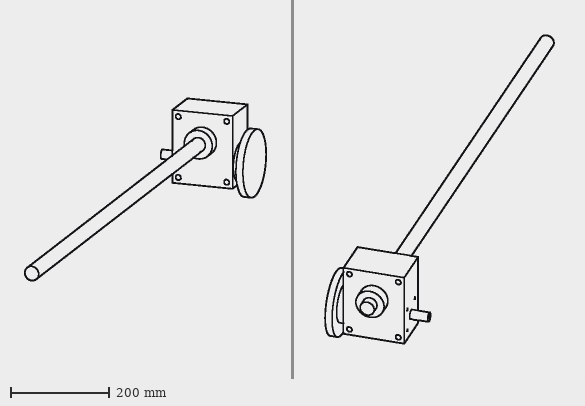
import cadquery as cq


HOUSING_WIDTH = 130.0
HOUSING_DEPTH = 90.0
HOUSING_HEIGHT = 154.0
HOUSING_TOP = 60.0
HOUSING_CENTER_Z = HOUSING_TOP - HOUSING_HEIGHT / 2

HUB_DIAMETER = 60.0
HUB_SPAN = 140.0

MOUNT_HOLE_DIAMETER = 11.0
MOUNT_HOLE_INSET = 13.0

SCREW_DIAMETER = 30.0
SCREW_LENGTH = 1160
SCREW_PROJECTION = 19.0
SCREW_BACK_END = HUB_SPAN / 2 + SCREW_PROJECTION

SHAFT_DIAMETER = 20.0
SHAFT_PROJECTION = 38.0

FLANGE_DIAMETER = 140.0
FLANGE_THICKNESS = 15.0
FLANGE_NECK_DIAMETER = 81.0
FLANGE_NECK_LENGTH = 16.0
FLANGE_DROP = 180.0
SHAFT_AXIS_Z = HOUSING_TOP - FLANGE_DROP + FLANGE_DIAMETER / 2

TAPPED_HOLE_DIAMETER = 4.9
TAPPED_HOLE_DEPTH = 12.0
TAPPED_HOLE_SPACING = 49.0


def cylinder_along_x(diameter, start_x, length, y=0, z=SHAFT_AXIS_Z):
    """Cylinder that starts at start_x and runs toward +X."""
    return cq.Workplane("YZ", origin=(start_x, y, z)).circle(diameter / 2).extrude(length)


def cylinder_along_y(diameter, start_y, length, x=0, z=0):
    """Cylinder that starts at start_y and runs toward +Y."""
    return cq.Workplane("XZ", origin=(x, start_y, z)).circle(diameter / 2).extrude(-length)


def make_screw():
    return cylinder_along_y(SCREW_DIAMETER, SCREW_BACK_END - SCREW_LENGTH, SCREW_LENGTH)


def make_input_shaft():
    """Shaft through the full housing width, with a centre hole in its free end."""
    free_end = -HOUSING_WIDTH / 2 - SHAFT_PROJECTION
    shaft = cylinder_along_x(SHAFT_DIAMETER, free_end, SHAFT_PROJECTION + HOUSING_WIDTH)
    return shaft.cut(cylinder_along_x(TAPPED_HOLE_DIAMETER, free_end, TAPPED_HOLE_DEPTH))


def make_motor_flange():
    neck = cylinder_along_x(FLANGE_NECK_DIAMETER, HOUSING_WIDTH / 2, FLANGE_NECK_LENGTH)
    disc_start = HOUSING_WIDTH / 2 + FLANGE_NECK_LENGTH
    return neck.union(cylinder_along_x(FLANGE_DIAMETER, disc_start, FLANGE_THICKNESS))


def make_housing():
    """Block with two hubs, bored for the screw and the input shaft."""
    housing = cq.Workplane("XY").box(HOUSING_WIDTH, HOUSING_DEPTH, HOUSING_HEIGHT)
    housing = housing.translate((0, 0, HOUSING_CENTER_Z))
    housing = housing.union(cylinder_along_y(HUB_DIAMETER, -HUB_SPAN / 2, HUB_SPAN))

    housing = housing.cut(cylinder_along_y(SCREW_DIAMETER, -HUB_SPAN / 2, HUB_SPAN))
    housing = housing.cut(cylinder_along_x(SHAFT_DIAMETER, -HOUSING_WIDTH / 2, HOUSING_WIDTH))

    mount_x = HOUSING_WIDTH / 2 - MOUNT_HOLE_INSET
    mount_z = HOUSING_HEIGHT / 2 - MOUNT_HOLE_INSET
    tapped_offset = TAPPED_HOLE_SPACING / 2
    for side in (-1, 1):
        for level in (-1, 1):
            mount_hole = cylinder_along_y(
                MOUNT_HOLE_DIAMETER,
                -HOUSING_DEPTH / 2,
                HOUSING_DEPTH,
                x=side * mount_x,
                z=HOUSING_CENTER_Z + level * mount_z,
            )
            tapped_hole = cylinder_along_x(
                TAPPED_HOLE_DIAMETER,
                -HOUSING_WIDTH / 2,
                TAPPED_HOLE_DEPTH,
                y=side * tapped_offset,
                z=SHAFT_AXIS_Z + level * tapped_offset,
            )
            housing = housing.cut(mount_hole).cut(tapped_hole)
    return housing


housing = make_housing()
screw = make_screw()
input_shaft = make_input_shaft()
motor_flange = make_motor_flange()

result = cq.Compound.makeCompound([
    housing.val(),
    screw.val(),
    input_shaft.val(),
    motor_flange.val(),
])